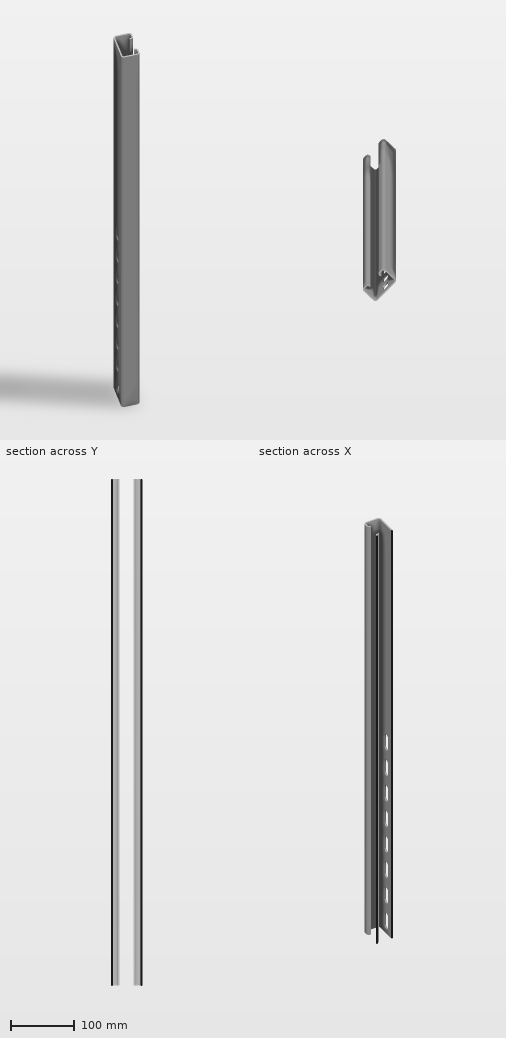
import cadquery as cq

length = 800.0
width = 50.0
depth = 30.0
wall = 2.5
bend_radius = 2 * wall
mouth_gap = 22.0
lip_depth = 6.0

slot_count = 8
slot_pitch = length / 16
slot_length = 30.0
slot_width = 11.0
first_slot_height = slot_pitch / 2

flange_width = (width - mouth_gap) / 2
flange_center = (width - flange_width) / 2


def rounded_bar(bar_width, bar_depth, center_x, center_y, radius):
    """Full-length bar with its four long edges rounded."""
    bar = cq.Workplane("XY").center(center_x, center_y).rect(bar_width, bar_depth).extrude(length)
    return bar.edges("|Z").fillet(radius)


def block(x_size, y_size, center_x, center_y):
    """Full-length plain bar."""
    return cq.Workplane("XY").center(center_x, center_y).rect(x_size, y_size).extrude(length)


def tube(tube_width, tube_depth, center_x, center_y):
    """Full-length thin-walled box with concentric inner and outer bends."""
    outside = rounded_bar(tube_width, tube_depth, center_x, center_y, bend_radius)
    inside = rounded_bar(
        tube_width - 2 * wall, tube_depth - 2 * wall, center_x, center_y, bend_radius - wall
    )
    return outside.cut(inside)


def make_channel():
    """C-channel: a box opened at +Y, with flanges that turn back as lips."""
    channel = tube(width, depth, 0, 0)
    opening_width = width - 2 * bend_radius
    channel = channel.cut(block(opening_width, 2 * wall, 0, depth / 2))
    for side in (-1, 1):
        flange = tube(flange_width, depth, side * flange_center, 0)
        lip_zone = block(flange_width, lip_depth, side * flange_center, (depth - lip_depth) / 2)
        channel = channel.union(flange.intersect(lip_zone))
    return channel


def make_slots():
    """Cutters for the slots, reaching through the back wall only."""
    return (
        cq.Workplane("XZ", origin=(0, -depth / 2 + 2 * wall, first_slot_height))
        .pushPoints([(0, index * slot_pitch) for index in range(slot_count)])
        .slot2D(slot_length, slot_width, 90)
        .extrude(3 * wall)
    )


result = make_channel().cut(make_slots()).clean()